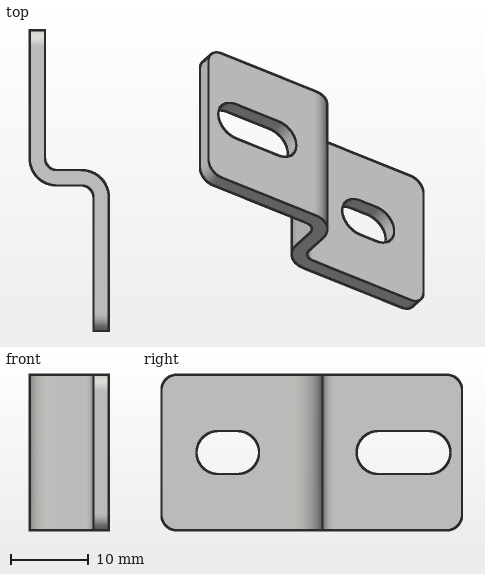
import cadquery as cq

depth = 10.2
length = 38.6
height = 20.0

thickness = 2.0
inner_bend_radius = 1.5
outer_bend_radius = inner_bend_radius + thickness
web_front_y = -0.65
web_back_y = web_front_y + thickness

corner_radius = 2.0
slot_width = 5.5
long_slot_length = 12.0
long_slot_y = 11.77
short_slot_length = 8.0
short_slot_y = -10.77

x_min, x_max = -depth / 2, depth / 2
y_min, y_max = -length / 2, length / 2


def bent_sheet():
    """Z-shaped strip: back plate at -X, front plate at +X, joined by a web."""
    back_bend_y = web_front_y + outer_bend_radius
    front_bend_y = web_back_y - outer_bend_radius
    profile = (
        cq.Workplane("XY", origin=(0, 0, -height / 2))
        .moveTo(x_min, y_max)
        .lineTo(x_min, back_bend_y)
        .radiusArc((x_min + outer_bend_radius, web_front_y), -outer_bend_radius)
        .lineTo(x_max - outer_bend_radius, web_front_y)
        .radiusArc((x_max - thickness, front_bend_y), inner_bend_radius)
        .lineTo(x_max - thickness, y_min)
        .lineTo(x_max, y_min)
        .lineTo(x_max, front_bend_y)
        .radiusArc((x_max - outer_bend_radius, web_back_y), -outer_bend_radius)
        .lineTo(x_min + outer_bend_radius, web_back_y)
        .radiusArc((x_min + thickness, back_bend_y), inner_bend_radius)
        .lineTo(x_min + thickness, y_max)
        .close()
    )
    return profile.extrude(height)


def slot_cutter(plate_x, center_y, slot_length):
    """Slot running along Y, through the plate whose -X face is at plate_x."""
    return (
        cq.Workplane("YZ", origin=(plate_x, center_y, 0))
        .slot2D(slot_length, slot_width)
        .extrude(thickness)
    )


bracket = bent_sheet()

for end_face in ("<Y", ">Y"):
    bracket = bracket.faces(end_face).edges("|X").fillet(corner_radius)

bracket = bracket.cut(slot_cutter(x_min, long_slot_y, long_slot_length))
bracket = bracket.cut(slot_cutter(x_max - thickness, short_slot_y, short_slot_length))

result = bracket